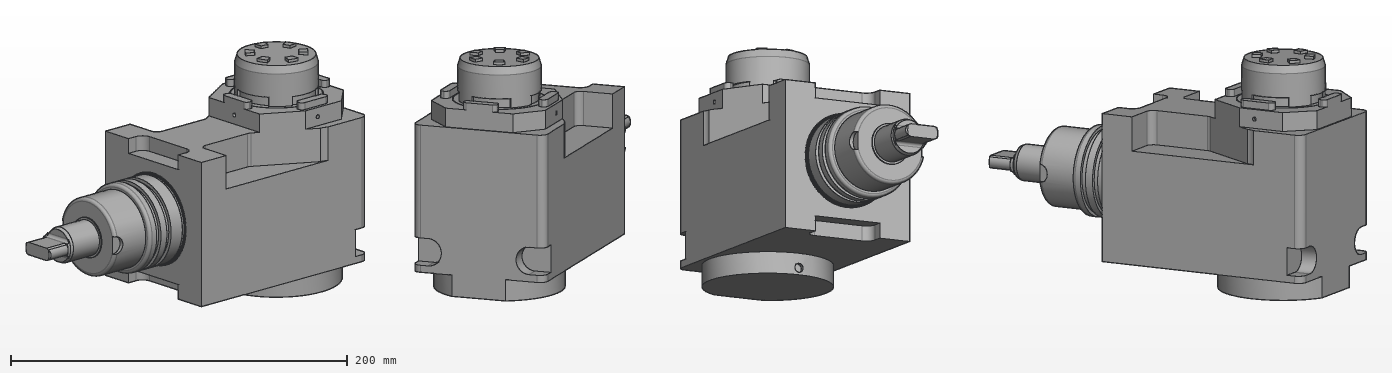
import cadquery as cq
import math


body_width = 84.0
body_length = 135.0
body_height = 90.0
back_corner_radius = 5.0
half_width = body_width / 2
body_top = body_height / 2
body_bottom = -body_top

waist_half_width = 19.0
waist_depth = 20.8
front_wall = 20.1
waist_slope = math.radians(60)
shoulder_y = 99.8
shoulder_radius = 9.5
waist_radius = 4.5
waist_start_y = shoulder_y - (half_width - waist_half_width) * math.tan(waist_slope)

key_width = 43.5
key_depth = 12.0
key_height = 9.2
key_corner_radius = 5.7

clamp_width = 16.7
clamp_depth = 10.0
clamp_z = -32.3
clamp_centre_x = 32.0

head_y = 99.8
disc_diameter = 78.3
disc_height = 13.0
disc_hole_diameter = 5.5
disc_hole_depth = 2.3
disc_hole_z = -53.8

plate_width = 72.3
plate_half_length = 34.3
plate_height = 11.5
plate_back_flat = 21.3
plate_chamfer = 15.3
plate_top = body_top + plate_height
plate_hole_diameter = 2.3
plate_hole_depth = 2.3
plate_hole_z = 50.5
ring_outer_diameter = 56.0
ring_inner_diameter = 55.5
ring_depth = 1.0

pad_height = 4.3
pad_width = 5.7
cross_pad_length = 21.5
cross_pad_radius = 2.3
cross_pad_offset = plate_half_length - pad_width / 2
side_pad_length = 22.5
side_pad_radius = 2.7
side_pad_offset = 31.1

head_diameter = 50.0
head_top_diameter = 47.0
head_top = 81.5
head_taper_height = 4.8
notch_top = 62.0
notch_start_angle = -20.3
notch_end_angle = 36.2
notch_count = 4

stud_count = 6
stud_inner_radius = 13.3
stud_outer_radius = 18.8
stud_half_angle = 10.5
stud_first_angle = -10.0
stud_height = 1.72

relief_diameter = 54.7
relief_start = 0.5
relief_end = 1.8
flange_diameter = 55.0
flange_length = 28.4
flange_fillet = 2.0
groove_diameter = 50.8
groove_starts = (11.0, 19.2)
groove_width = 3.5
face_ring_outer_diameter = 57.0
face_ring_inner_diameter = 56.0
face_ring_depth = 1.0
nose_diameter = 48.0
nose_end = 53.0
nose_fillet = 2.0
step_diameter = 24.7
step_end = 53.8
shaft_diameter = 22.0
shaft_end = 77.1
shaft_chamfer_length = 2.3
shaft_chamfer_depth = 1.0
nose_pocket_diameter = 11.0
nose_pocket_y = -52.5
nose_pocket_floor = 21.5

tang_end = 93.8
tang_thickness = 7.8
tang_flat_half_width = 8.0
tang_edge_half_width = 9.5
tang_edge_drop = 0.7
tang_tip_chamfer = 1.0
tang_root_radius = 2.0


def cylinder_up(diameter, z_start, height):
    """Vertical cylinder on the tool head axis."""
    return cq.Workplane("XY").workplane(offset=z_start).center(0, head_y).circle(diameter / 2).extrude(height)


def ring_sector(inner_radius, outer_radius, start_angle, end_angle, z_start, height):
    """Vertical ring sector around the tool head axis, angles in degrees from +X."""
    def point(radius, angle):
        turn = math.radians(angle)
        return (radius * math.cos(turn), radius * math.sin(turn))

    middle = (start_angle + end_angle) / 2
    return (
        cq.Workplane("XY").workplane(offset=z_start).center(0, head_y)
        .moveTo(*point(inner_radius, start_angle))
        .lineTo(*point(outer_radius, start_angle))
        .threePointArc(point(outer_radius, middle), point(outer_radius, end_angle))
        .lineTo(*point(inner_radius, end_angle))
        .threePointArc(point(inner_radius, middle), point(inner_radius, start_angle))
        .close().extrude(height)
    )


def waist_cutter(side):
    """Pocket beside the waist; side is -1 or +1."""
    z_floor = body_top - waist_depth
    reach = half_width + shoulder_radius
    tangent = shoulder_radius * math.tan((math.pi / 2 - waist_slope) / 2)
    round_start = (side * half_width, shoulder_y + tangent)
    round_end = (
        side * (half_width - tangent * math.cos(waist_slope)),
        shoulder_y - tangent * math.sin(waist_slope),
    )
    cutter = (
        cq.Workplane("XY").workplane(offset=z_floor)
        .moveTo(side * reach, front_wall)
        .lineTo(side * waist_half_width, front_wall)
        .lineTo(side * waist_half_width, waist_start_y)
        .lineTo(*round_end)
        .radiusArc(round_start, side * shoulder_radius)
        .lineTo(side * reach, shoulder_y + tangent)
        .close().extrude(waist_depth)
    )
    for corner_y in (front_wall, waist_start_y):
        corner = (side * waist_half_width, corner_y, z_floor + waist_depth / 2)
        cutter = cutter.edges(cq.selectors.NearestToPointSelector(corner)).fillet(waist_radius)
    return cutter


def key_slot(z_start):
    """Slot open to the front face, with rounded inner corners."""
    return (
        cq.Workplane("XY").box(key_width, 2 * key_depth, key_height, centered=(True, True, False))
        .edges("|Z").fillet(key_corner_radius)
        .translate((0, 0, z_start))
    )


def clamp_slot(side):
    """Slot with a round inner end, open to the side and the back of the body."""
    back = cq.Workplane("XZ", origin=(0, body_length, 0))
    round_end = back.center(side * clamp_centre_x, clamp_z).circle(clamp_width / 2).extrude(clamp_depth)
    straight = (
        back.center(side * (clamp_centre_x + half_width) / 2, clamp_z)
        .rect(half_width - clamp_centre_x, clamp_width).extrude(clamp_depth)
    )
    return round_end.union(straight)


def make_body():
    body = (
        cq.Workplane("XY").box(body_width, body_length, body_height, centered=(True, False, True))
        .edges("|Z and >Y").fillet(back_corner_radius)
    )
    for side in (-1, 1):
        body = body.cut(waist_cutter(side)).cut(clamp_slot(side))
    for slot_bottom in (body_bottom, body_top - key_height):
        body = body.cut(key_slot(slot_bottom))
    face_ring = (
        cq.Workplane("XZ").circle(face_ring_outer_diameter / 2).circle(face_ring_inner_diameter / 2)
        .extrude(-face_ring_depth)
    )
    return body.cut(face_ring)


def make_disc():
    """Base disc, cut flush with the back of the body."""
    disc_bottom = body_bottom - disc_height
    disc = cylinder_up(disc_diameter, disc_bottom, disc_height)
    trim = cq.Workplane("XY").box(body_width, body_length, body_height * 2, centered=(True, False, True))
    front_y = head_y - disc_diameter / 2
    hole = (
        cq.Workplane("XZ", origin=(0, front_y, disc_hole_z))
        .circle(disc_hole_diameter / 2).extrude(-disc_hole_depth)
    )
    return disc.intersect(trim).cut(hole)


def make_plate():
    back_y = head_y + plate_half_length
    front_y = head_y - plate_half_length
    side_x = plate_width / 2

    def slope_x(y):
        return half_width - (shoulder_y - y) / math.tan(waist_slope)

    slope_side_y = shoulder_y - (half_width - side_x) * math.tan(waist_slope)
    right_half = [
        (slope_x(front_y), front_y),
        (side_x, slope_side_y),
        (side_x, back_y - plate_chamfer),
        (plate_back_flat, back_y),
    ]
    left_half = [(-x, y) for x, y in reversed(right_half)]
    plate = (
        cq.Workplane("XY").workplane(offset=body_top)
        .polyline(right_half + left_half).close().extrude(plate_height)
    )
    ring = cylinder_up(ring_outer_diameter, plate_top - ring_depth, ring_depth).cut(
        cylinder_up(ring_inner_diameter, plate_top - ring_depth, ring_depth)
    )
    plate = plate.cut(ring)

    hole_radius = plate_hole_diameter / 2
    front_hole = (
        cq.Workplane("XZ", origin=(0, front_y, plate_hole_z)).circle(hole_radius).extrude(-plate_hole_depth)
    )
    side_hole = (
        cq.Workplane("YZ", origin=(-side_x, head_y, plate_hole_z))
        .circle(hole_radius).extrude(plate_hole_depth)
    )
    plate = plate.cut(front_hole).cut(side_hole).cut(side_hole.mirror("YZ"))

    cross_pad = (
        cq.Workplane("XY").box(cross_pad_length, pad_width, pad_height, centered=(True, True, False))
        .edges("|Z").fillet(cross_pad_radius)
    )
    side_pad = (
        cq.Workplane("XY").box(pad_width, side_pad_length, pad_height, centered=(True, True, False))
        .edges("|Z").fillet(side_pad_radius)
    )
    for side in (-1, 1):
        plate = plate.union(cross_pad.translate((0, head_y + side * cross_pad_offset, plate_top)))
        plate = plate.union(side_pad.translate((side * side_pad_offset, head_y, plate_top)))
    return plate


def make_head():
    radius = head_diameter / 2
    top_radius = head_top_diameter / 2
    head = (
        cq.Workplane("XZ", origin=(0, head_y, 0))
        .polyline([
            (0, plate_top),
            (radius, plate_top),
            (radius, head_top - head_taper_height),
            (top_radius, head_top),
            (0, head_top),
        ])
        .close().revolve(360, (0, 0, 0), (0, 1, 0))
    )
    for index in range(notch_count):
        turn = index * 360 / notch_count
        head = head.cut(ring_sector(
            top_radius, head_diameter,
            turn + notch_start_angle, turn + notch_end_angle,
            plate_top, notch_top - plate_top,
        ))
    for index in range(stud_count):
        angle = stud_first_angle + index * 360 / stud_count
        head = head.union(ring_sector(
            stud_inner_radius, stud_outer_radius,
            angle - stud_half_angle, angle + stud_half_angle,
            head_top, stud_height,
        ))
    return head


def make_tang():
    """Flat tang with eased edges, round sides, a tip chamfer and rounded roots."""
    half = tang_thickness / 2
    shaft_radius = shaft_diameter / 2
    edge_z = half - tang_edge_drop
    bar = (
        cq.Workplane("XZ", origin=(0, -shaft_end, 0))
        .moveTo(-tang_flat_half_width, half)
        .lineTo(tang_flat_half_width, half)
        .lineTo(tang_edge_half_width, edge_z)
        .threePointArc((shaft_radius, 0), (tang_edge_half_width, -edge_z))
        .lineTo(tang_flat_half_width, -half)
        .lineTo(-tang_flat_half_width, -half)
        .lineTo(-tang_edge_half_width, -edge_z)
        .threePointArc((-shaft_radius, 0), (-tang_edge_half_width, edge_z))
        .close().extrude(tang_end - shaft_end)
    )

    root_end = -shaft_end - tang_root_radius
    root_top = half + tang_root_radius
    arc_offset = tang_root_radius * (1 - math.sqrt(0.5))
    root = (
        cq.Workplane("YZ")
        .moveTo(-shaft_end, 0)
        .lineTo(-shaft_end, root_top)
        .threePointArc((-shaft_end - arc_offset, half + arc_offset), (root_end, half))
        .lineTo(root_end, 0)
        .close().extrude(shaft_radius, both=True)
    )
    limit = (
        cq.Workplane("XZ", origin=(0, -shaft_end, 0)).circle(shaft_radius)
        .extrude(tang_end - shaft_end)
        .faces("<Y").chamfer(tang_tip_chamfer)
    )
    return bar.union(root).union(root.mirror("XY")).intersect(limit)


def make_spindle():
    relief_radius = relief_diameter / 2
    flange_radius = flange_diameter / 2
    groove_radius = groove_diameter / 2
    nose_radius = nose_diameter / 2
    profile = [
        (0, 0),
        (flange_radius, 0),
        (flange_radius, -relief_start),
        (relief_radius, -relief_start),
        (relief_radius, -relief_end),
        (flange_radius, -relief_end),
    ]
    for start in groove_starts:
        profile += [
            (flange_radius, -start),
            (groove_radius, -start),
            (groove_radius, -start - groove_width),
            (flange_radius, -start - groove_width),
        ]
    profile += [(flange_radius, -flange_length), (0, -flange_length)]
    flange = (
        cq.Workplane("XY").polyline(profile).close().revolve(360, (0, 0, 0), (0, 1, 0))
        .faces("<Y").edges().fillet(flange_fillet)
    )
    nose = (
        cq.Workplane("XZ").circle(nose_radius).extrude(nose_end)
        .faces("<Y").edges().fillet(nose_fillet)
    )
    step = cq.Workplane("XZ").circle(step_diameter / 2).extrude(step_end)
    shaft = (
        cq.Workplane("XZ").circle(shaft_diameter / 2).extrude(shaft_end)
        .faces("<Y").edges().chamfer(shaft_chamfer_length, shaft_chamfer_depth)
    )
    spindle = flange.union(nose).union(step).union(shaft)

    pocket = (
        cq.Workplane("YZ", origin=(nose_pocket_floor, nose_pocket_y, 0))
        .circle(nose_pocket_diameter / 2).extrude(nose_radius - nose_pocket_floor)
    )
    spindle = spindle.cut(pocket).cut(pocket.mirror("YZ"))
    return spindle.union(make_tang())


result = make_body().union(make_disc()).union(make_plate()).union(make_head()).union(make_spindle())